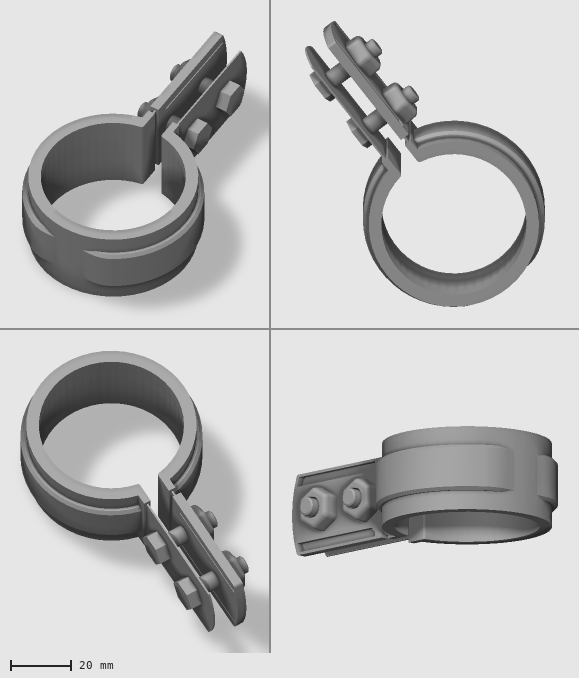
import cadquery as cq
import math

ring_radius = 28.1
bore_radius = 24.0
ring_height = 28.0
gap_half = 3.5
tongue_thickness = 2.5
tongue_end_y = 31.1
bore_edge_fillet = 0.8
belt_radius = 30.1
belt_height = 15.3
belt_chamfer = 1.0
belt_flat_y = -27.6
belt_flat_half = 8.8

band_thickness = 0.6
band_height = 25.3
tab_x = gap_half + tongue_thickness / 2
tab_end_y = 74.2
tab_end_radius = 25.6
band_radius = (ring_radius + bore_radius) / 2

plate_thickness = 3.2
plate_height = 27.2
plate_start_y = 33.4
plate_end_y = 75.6
plate_end_radius = 39.4
plate_corner_fillet = 0.99
plate_inner_x = -gap_half
plate_outer_x = plate_inner_x - plate_thickness
slot_start_y = 36.4
slot_inner_z = 9.5
slot_corner_chamfer = 1.8
slit_width = 0.7
slot_end_margin = 1.1

bolt_pitch = 20.0
first_bolt_y = 40.9
bolt_ys = [first_bolt_y, first_bolt_y + bolt_pitch]
shank_diameter = 6.0
shank_length = 20.0
shank_tip_diameter = 4.9
shank_tip_length = 0.4
head_across_flats = 10.0
head_thickness = 4.0
head_seat_x = tab_x + band_thickness / 2
nut_across_flats = 13.1
nut_thickness = 5.3
nut_draft_angle = 4.0
nut_corner_fillet = 1.8
nut_face_fillet = 1.7
nut_hole_diameter = 7.0


def block(x_min, x_max, y_min, y_max, height):
    """Box between the given X and Y limits, centred on Z = 0."""
    box = cq.Workplane("XY").box(x_max - x_min, y_max - y_min, height)
    return box.translate(((x_min + x_max) / 2, (y_min + y_max) / 2, 0))


def disk(radius, height):
    """Cylinder about Z, centred on Z = 0."""
    return cq.Workplane("XY").circle(radius).extrude(height / 2, both=True)


def hexagon_points(across_flats, first_angle):
    """Corners of a hexagon, the first one at the given angle in degrees."""
    corner_radius = across_flats / 2 / math.cos(math.radians(30))
    angles = [math.radians(first_angle + 60 * i) for i in range(6)]
    return [(corner_radius * math.cos(a), corner_radius * math.sin(a)) for a in angles]


def round_ended_strip(x_min, thickness, height, y_min, y_max, end_radius):
    """Upright strip whose +Y end is an arc about an axis along X."""
    half = height / 2
    corner_y = y_max - end_radius + math.sqrt(end_radius**2 - half**2)
    return (
        cq.Workplane("YZ", origin=(x_min, 0, 0))
        .moveTo(y_min, -half)
        .lineTo(corner_y, -half)
        .threePointArc((y_max, 0), (corner_y, half))
        .lineTo(y_min, half)
        .close()
        .extrude(thickness)
    )


def along_x(diameter, x_min, x_max, y):
    """Cylinder along X at height Z = 0."""
    return cq.Workplane("YZ", origin=(x_min, y, 0)).circle(diameter / 2).extrude(x_max - x_min)


def cut_bolt_holes(body):
    for y in bolt_ys:
        body = body.cut(along_x(shank_diameter, plate_outer_x, head_seat_x, y))
    return body


def make_belt():
    """Raised belt: a disk flattened at -Y, with arcs tangent to the flat and to the rim."""
    corner_radius = (belt_radius**2 - belt_flat_half**2 - belt_flat_y**2) / (2 * (belt_radius + belt_flat_y))
    center_y = belt_flat_y + corner_radius
    rim_scale = belt_radius / math.hypot(belt_flat_half, center_y)
    rim_x = belt_flat_half * rim_scale
    rim_y = center_y * rim_scale
    middle_angle = (math.atan2(center_y, belt_flat_half) - math.pi / 2) / 2
    middle_x = belt_flat_half + corner_radius * math.cos(middle_angle)
    middle_y = center_y + corner_radius * math.sin(middle_angle)
    return (
        cq.Workplane("XY")
        .moveTo(-belt_flat_half, belt_flat_y)
        .lineTo(belt_flat_half, belt_flat_y)
        .threePointArc((middle_x, middle_y), (rim_x, rim_y))
        .threePointArc((0, belt_radius), (-rim_x, rim_y))
        .threePointArc((-middle_x, middle_y), (-belt_flat_half, belt_flat_y))
        .close()
        .extrude(belt_height / 2, both=True)
        .faces("|Z")
        .edges()
        .chamfer(belt_chamfer)
    )


def make_liner(band):
    tongue_outer_x = gap_half + tongue_thickness
    liner = disk(ring_radius, ring_height).union(make_belt())
    liner = liner.union(block(-tongue_outer_x, tongue_outer_x, bore_radius, tongue_end_y, ring_height))
    liner = liner.cut(disk(bore_radius, ring_height))
    liner = liner.cut(block(-gap_half, gap_half, 0, tongue_end_y, ring_height))
    bore_corner_y = math.sqrt(bore_radius**2 - gap_half**2)
    corner_edges = cq.selectors.BoxSelector(
        (-2 * gap_half, bore_corner_y - bore_edge_fillet, -ring_height),
        (2 * gap_half, bore_corner_y + bore_edge_fillet, ring_height),
    )
    liner = liner.edges("|Z").edges(corner_edges).fillet(bore_edge_fillet)
    return liner.cut(band)


def make_band():
    half_thickness = band_thickness / 2
    tab_inner_x = tab_x - half_thickness
    tab_start_y = math.sqrt(band_radius**2 - tab_x**2)
    band = disk(band_radius + half_thickness, band_height)
    band = band.cut(disk(band_radius - half_thickness, band_height))
    band = band.cut(block(-tab_inner_x, tab_inner_x, 0, ring_radius, band_height))
    for x in (-tab_x, tab_x):
        tab = round_ended_strip(
            x - half_thickness, band_thickness, band_height, tab_start_y, tab_end_y, tab_end_radius
        )
        band = band.union(tab)
    return cut_bolt_holes(band)


def make_plate(band):
    plate = round_ended_strip(
        plate_outer_x, plate_thickness, plate_height, plate_start_y, plate_end_y, plate_end_radius
    )
    plate = plate.edges("|X").edges(">Y").fillet(plate_corner_fillet)
    slot_outer_z = band_height / 2
    slot_depth = band_thickness / 2 - tab_x - plate_outer_x
    slot_limit = round_ended_strip(
        plate_outer_x,
        plate_thickness,
        band_height,
        plate_start_y,
        plate_end_y - slot_end_margin,
        plate_end_radius - slot_end_margin,
    )
    slit_start_y = slot_start_y + slot_corner_chamfer
    for side in (1, -1):
        slot = (
            cq.Workplane("YZ", origin=(plate_outer_x, 0, 0))
            .moveTo(slot_start_y, side * slot_outer_z)
            .lineTo(plate_end_y, side * slot_outer_z)
            .lineTo(plate_end_y, side * slot_inner_z)
            .lineTo(slit_start_y, side * slot_inner_z)
            .lineTo(slot_start_y, side * (slot_inner_z + slot_corner_chamfer))
            .close()
            .extrude(slot_depth)
        )
        plate = plate.cut(slot.intersect(slot_limit))
        slit = cq.Workplane("XY").box(plate_thickness, plate_end_y - slit_start_y, slit_width)
        slit = slit.translate(
            (
                plate_inner_x - plate_thickness / 2,
                (plate_end_y + slit_start_y) / 2,
                side * (slot_inner_z + slit_width / 2),
            )
        )
        plate = plate.cut(slit.intersect(slot_limit))
    return cut_bolt_holes(plate).cut(band)


def make_bolt(y):
    tip_x = head_seat_x - shank_length
    tip_chamfer = (shank_diameter - shank_tip_diameter) / 2
    shank = along_x(shank_diameter, tip_x, head_seat_x, y)
    shank = shank.faces("<X").chamfer(shank_tip_length, tip_chamfer)
    head = (
        cq.Workplane("YZ", origin=(head_seat_x, y, 0))
        .polyline(hexagon_points(head_across_flats, 0))
        .close()
        .extrude(head_thickness)
    )
    return shank.union(head)


def make_nut(y):
    face_x = plate_outer_x - nut_thickness
    nut = (
        cq.Workplane("YZ", origin=(plate_outer_x, y, 0))
        .polyline(hexagon_points(nut_across_flats, 90))
        .close()
        .extrude(-nut_thickness, taper=nut_draft_angle)
    )
    nut = nut.edges("not #X").fillet(nut_corner_fillet)
    nut = nut.faces("<X").edges().fillet(nut_face_fillet)
    return nut.cut(along_x(nut_hole_diameter, face_x, plate_outer_x, y))


band = make_band()
liner = make_liner(band)
plate = make_plate(band)
bolts = [make_bolt(y).val() for y in bolt_ys]
nuts = [make_nut(y).val() for y in bolt_ys]

result = cq.Compound.makeCompound([liner.val(), band.val(), plate.val(), *bolts, *nuts])